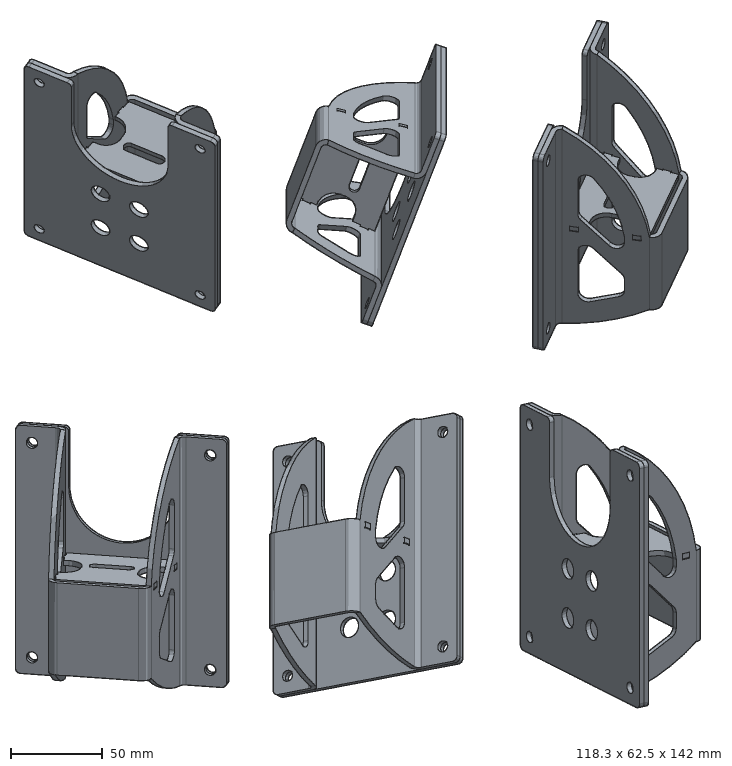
import cadquery as cq
import math


WIDTH = 118.3
DEPTH = 62.5
HEIGHT = 142.0
SHEET = 3.0
CORNER_RADIUS = 3.0

MOUNT_HOLE_DIAMETER = 6.2
MOUNT_SPACING_X = 99.7
MOUNT_SPACING_Z = 122.7

NOTCH_RADIUS = 30.0
NOTCH_CENTRE_Z = 107.6
NOTCH_CORNER_RADIUS = 2.5
ACCESS_HOLE_DIAMETER = 11.5
ACCESS_SPACING_X = 23.7
ACCESS_SPACING_Z = 28.4
ACCESS_CENTRE_Z = 46.0

WEB_TILT = math.radians(5.5)
INNER_BEND = 3.0
OUTER_BEND = INNER_BEND + SHEET
FLANGE_BEND_X = 36.3

WALL_TOP = 71.8
WALL_BOTTOM = 19.0
TOP_ARC_RADIUS = 95.0
BOTTOM_ARC_RADIUS = 115.0

WINDOW_FRONT = 17.5
WINDOW_BACK = 43.2
WINDOW_FILLET = 5.0
RIM_WIDTH = 14.0
BRACE_TOP = 96.5
BRACE_BOTTOM = 84.0
LOWER_WINDOW_FRONT_Z = 15.9
LOWER_WINDOW_BACK_Z = 26.7

SHELF_FRONT = 8.8
SHELF_BACK = 56.8
SHELF_GAP = 0.5
TAB_WIDTH = 4.8
TAB_SPACING = 34.8
TAB_CENTRE_Y = 32.7
SLOT_CLEARANCE = 0.4
SIDE_CUT_WIDTH = 21.6
SIDE_CUT_FILLET = 9.2
SIDE_CUT_X = 16.2
SIDE_CUT_Y = 33.0
CABLE_SLOT_LENGTH = 25.0
CABLE_SLOT_WIDTH = 6.0
CABLE_SLOT_Y = 28.1

COS_TILT = math.cos(WEB_TILT)
SIN_TILT = math.sin(WEB_TILT)
FLANGE_FACE = 2 * SHEET
FLANGE_BEND = (FLANGE_BEND_X, FLANGE_FACE + INNER_BEND)
WALL_BEND_Y = DEPTH - OUTER_BEND
WALL_BEND_X = FLANGE_BEND_X - (
    INNER_BEND + OUTER_BEND + (WALL_BEND_Y - FLANGE_BEND[1]) * SIN_TILT
) / COS_TILT
WALL_BEND = (WALL_BEND_X, WALL_BEND_Y)
WEB_FRONT = FLANGE_BEND[1] - INNER_BEND * SIN_TILT
WEB_BACK = WALL_BEND_Y + OUTER_BEND * SIN_TILT
SHELF_BOTTOM = WALL_TOP - SHEET


def on_circle(centre, radius, angle):
    """Point on a circle; the angle is in radians."""
    return (centre[0] + radius * math.cos(angle), centre[1] + radius * math.sin(angle))


def web_x(y, inset):
    """X of the right web at depth y, at a distance inset inside its outer face."""
    face_x, face_y = on_circle(WALL_BEND, OUTER_BEND - inset, WEB_TILT)
    return face_x - (y - face_y) * SIN_TILT / COS_TILT


def arc_centre(start, end, radius):
    """Centre of the arc from start to end, on the right when going that way."""
    half_y = (end[0] - start[0]) / 2
    half_z = (end[1] - start[1]) / 2
    half_chord = math.hypot(half_y, half_z)
    offset = math.sqrt(radius ** 2 - half_chord ** 2) / half_chord
    return (start[0] + half_y + half_z * offset, start[1] + half_z - half_y * offset)


def both_sides(half):
    """Join a right-hand shape with its mirror image."""
    return half.union(half.mirror("YZ"))


def web_workplane():
    """Outer face of the right web: local x runs back from Y = 0, local y is Z."""
    return cq.Workplane(cq.Plane(
        origin=(web_x(0, 0), 0, 0),
        xDir=(-SIN_TILT, COS_TILT, 0),
        normal=(COS_TILT, SIN_TILT, 0),
    ))


def on_web(y, z):
    """Local web point at depth y and height z."""
    return (y / COS_TILT, z)


def mount_holes():
    """Cutters for the four mounting holes, through plate and flanges."""
    return (
        cq.Workplane("XZ", origin=(0, 0, HEIGHT / 2))
        .rarray(MOUNT_SPACING_X, MOUNT_SPACING_Z, 2, 2)
        .circle(MOUNT_HOLE_DIAMETER / 2)
        .extrude(-FLANGE_FACE)
    )


def make_plate():
    blank = (
        cq.Workplane("XY")
        .box(WIDTH, SHEET, HEIGHT, centered=(True, False, False))
        .edges("|Y")
        .fillet(CORNER_RADIUS)
    )
    notch = (
        cq.Workplane("XZ")
        .moveTo(-NOTCH_RADIUS, HEIGHT)
        .lineTo(-NOTCH_RADIUS, NOTCH_CENTRE_Z)
        .threePointArc((0, NOTCH_CENTRE_Z - NOTCH_RADIUS), (NOTCH_RADIUS, NOTCH_CENTRE_Z))
        .lineTo(NOTCH_RADIUS, HEIGHT)
        .close()
        .extrude(-SHEET)
    )
    access_holes = (
        cq.Workplane("XZ", origin=(0, 0, ACCESS_CENTRE_Z))
        .rarray(ACCESS_SPACING_X, ACCESS_SPACING_Z, 2, 2)
        .circle(ACCESS_HOLE_DIAMETER / 2)
        .extrude(-SHEET)
    )
    notched = blank.cut(notch)
    mouth_corners = cq.selectors.BoxSelector(
        (-NOTCH_RADIUS - SHEET, 0, NOTCH_CENTRE_Z + SHEET),
        (NOTCH_RADIUS + SHEET, SHEET, HEIGHT + SHEET),
    )
    notched = notched.edges("|Y").edges(mouth_corners).fillet(NOTCH_CORNER_RADIUS)
    return notched.cut(access_holes).cut(mount_holes())


def bent_sheet():
    """Full-height sheet bent to a hat section with flanges."""
    down = -math.pi / 2
    up = math.pi / 2
    flange_web_angle = math.pi + WEB_TILT
    flange_mid = -(math.pi * 3 / 4 - WEB_TILT / 2)
    wall_mid = (up + WEB_TILT) / 2
    half = (
        cq.Workplane("XY")
        .moveTo(0, DEPTH)
        .lineTo(WALL_BEND_X, DEPTH)
        .threePointArc(on_circle(WALL_BEND, OUTER_BEND, wall_mid),
                       on_circle(WALL_BEND, OUTER_BEND, WEB_TILT))
        .lineTo(*on_circle(FLANGE_BEND, INNER_BEND, flange_web_angle))
        .threePointArc(on_circle(FLANGE_BEND, INNER_BEND, flange_mid),
                       on_circle(FLANGE_BEND, INNER_BEND, down))
        .lineTo(WIDTH / 2, FLANGE_FACE)
        .lineTo(WIDTH / 2, SHEET)
        .lineTo(FLANGE_BEND_X, SHEET)
        .threePointArc(on_circle(FLANGE_BEND, OUTER_BEND, flange_mid),
                       on_circle(FLANGE_BEND, OUTER_BEND, flange_web_angle))
        .lineTo(*on_circle(WALL_BEND, INNER_BEND, WEB_TILT))
        .threePointArc(on_circle(WALL_BEND, INNER_BEND, wall_mid),
                       on_circle(WALL_BEND, INNER_BEND, up))
        .lineTo(0, DEPTH - SHEET)
        .close()
        .extrude(HEIGHT)
    )
    half = half.faces(">X").edges("|Y").fillet(CORNER_RADIUS)
    return both_sides(half)


def outline_trims():
    """Blocks above and below the side outline, square to the right web.

    They reach inward to the middle of the back wall and leave the flanges whole.
    """
    inward = WALL_BEND_X + OUTER_BEND
    beyond_wall = DEPTH + OUTER_BEND
    above = (
        web_workplane()
        .moveTo(*on_web(WEB_FRONT, HEIGHT))
        .radiusArc(on_web(WEB_BACK, WALL_TOP), TOP_ARC_RADIUS)
        .lineTo(*on_web(beyond_wall, WALL_TOP))
        .lineTo(*on_web(beyond_wall, HEIGHT))
        .close()
        .extrude(-inward)
    )
    below = (
        web_workplane()
        .moveTo(*on_web(WEB_FRONT, 0))
        .radiusArc(on_web(WEB_BACK, WALL_BOTTOM), -BOTTOM_ARC_RADIUS)
        .lineTo(*on_web(beyond_wall, WALL_BOTTOM))
        .lineTo(*on_web(beyond_wall, 0))
        .close()
        .extrude(-inward)
    )
    return [above, below]


def upper_window():
    """Web opening above the brace, its curved edge concentric with the top arc."""
    centre = arc_centre((WEB_FRONT, HEIGHT), (WEB_BACK, WALL_TOP), TOP_ARC_RADIUS)
    radius = TOP_ARC_RADIUS - RIM_WIDTH
    start_angle = math.acos((WINDOW_BACK - centre[0]) / radius)
    end_angle = math.acos((WINDOW_FRONT - centre[0]) / radius)
    start = on_circle(centre, radius, start_angle)
    middle = on_circle(centre, radius, (start_angle + end_angle) / 2)
    end = on_circle(centre, radius, end_angle)
    return (
        web_workplane()
        .moveTo(*on_web(WINDOW_FRONT, BRACE_TOP - WINDOW_FRONT))
        .lineTo(*on_web(WINDOW_BACK, BRACE_TOP - WINDOW_BACK))
        .lineTo(*on_web(*start))
        .threePointArc(on_web(*middle), on_web(*end))
        .close()
    )


def lower_window():
    """Four-sided web opening below the brace."""
    return web_workplane().polyline([
        on_web(WINDOW_FRONT, BRACE_BOTTOM - WINDOW_FRONT),
        on_web(WINDOW_BACK, BRACE_BOTTOM - WINDOW_BACK),
        on_web(WINDOW_BACK, LOWER_WINDOW_BACK_Z),
        on_web(WINDOW_FRONT, LOWER_WINDOW_FRONT_Z),
    ]).close()


def window_cutter(outline):
    """Round a window outline and run it square through the right web."""
    across_web = cq.selectors.ParallelDirSelector(cq.Vector(COS_TILT, SIN_TILT, 0))
    return outline.extrude(SHEET, both=True).edges(across_web).fillet(WINDOW_FILLET)


def tab_prisms(bottom, inward):
    """Two tab-wide blocks reaching inward from the right web's outer face."""
    tab_height = WALL_TOP - bottom
    centres = [
        on_web(TAB_CENTRE_Y + side * TAB_SPACING / 2, bottom + tab_height / 2)
        for side in (-1, 1)
    ]
    return web_workplane().pushPoints(centres).rect(TAB_WIDTH, tab_height).extrude(-inward)


def make_bracket():
    bracket = bent_sheet()
    windows = [window_cutter(upper_window()), window_cutter(lower_window())]
    slots = tab_prisms(SHELF_BOTTOM - SLOT_CLEARANCE, SHEET)
    for cutter in outline_trims() + windows + [slots]:
        bracket = bracket.cut(both_sides(cutter))
    return bracket.cut(mount_holes())


def make_shelf():
    front_x = web_x(SHELF_FRONT, SHEET) - SHELF_GAP
    back_x = web_x(SHELF_BACK, SHEET) - SHELF_GAP
    level = cq.Workplane("XY", origin=(0, 0, SHELF_BOTTOM))
    panel = (
        level
        .polyline([
            (-front_x, SHELF_FRONT),
            (front_x, SHELF_FRONT),
            (back_x, SHELF_BACK),
            (-back_x, SHELF_BACK),
        ])
        .close()
        .extrude(SHEET)
    )
    side_cut = (
        level
        .center((SIDE_CUT_X + WIDTH / 2) / 2, SIDE_CUT_Y)
        .rect(WIDTH / 2 - SIDE_CUT_X, SIDE_CUT_WIDTH)
        .extrude(SHEET)
        .edges("|Z and <X")
        .fillet(SIDE_CUT_FILLET)
    )
    cable_slot = (
        level
        .center(0, CABLE_SLOT_Y)
        .slot2D(CABLE_SLOT_LENGTH, CABLE_SLOT_WIDTH)
        .extrude(SHEET)
    )
    tabs = tab_prisms(SHELF_BOTTOM, 2 * SHEET)
    return panel.cut(both_sides(side_cut)).cut(cable_slot).union(both_sides(tabs))


plate = make_plate()
bracket = make_bracket()
shelf = make_shelf()

result = cq.Compound.makeCompound([plate.solids().val(), bracket.solids().val(), shelf.solids().val()])